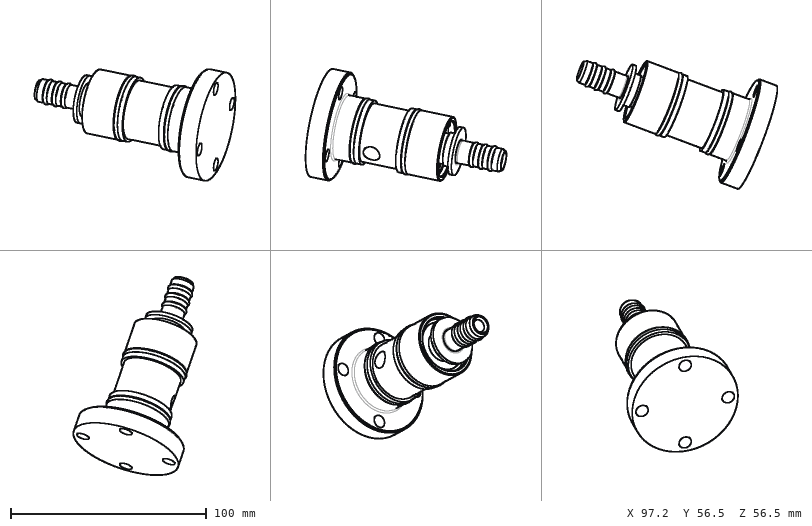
import cadquery as cq
import math

total_length = 97.2

stem_dia = 12.0
tip_chamfer_length = 1.6
tip_chamfer_depth = 0.9
small_groove_dia = 9.5
small_groove_count = 3
first_small_ring_x = 5.8
small_ring_pitch = 5.0

undercut_dia = 11.8
undercut_start_x = 23.0
undercut_runout = 0.4
undercut_face_depth = 0.1
undercut_face_dia = 13.8
undercut_radius = 0.4

collar_dia = 25.0
collar_front_x = 24.0
collar_thickness = 1.9
neck_dia = 17.5
neck_end_x = 29.9
inner_neck_dia = 15.9

housing_front_x = 30.2
housing_dia = 33.5
housing_chamfer_length = 0.3
housing_chamfer_depth = 0.6
waist_dia = 30.6
waist_start_x = 52.5
waist_end_x = 72.3
large_groove_dia = 30.7
large_ring_positions = [48.7, 76.2]

ring_section_radius = 0.9
groove_width = 2.3

flange_dia = 56.5
flange_front_x = 88.0
pilot_dia = 54.8
pilot_front_x = 87.2
flange_fillet = 0.9
bolt_hole_dia = 6.5
bolt_circle_dia = 46.0
bolt_hole_count = 4

recess_dia = 28.6
recess_floor_x = 34.0
recess_chamfer = 0.5
lip_inner_dia = 25.5
lip_thickness = 1.2
lip_gap_width = 8.6
lip_notch_y = 12.15
lip_notch_z = 6.0

bore_dia = 6.6
bore_mouth_dia = 8.7
bore_mouth_depth = 1.5
port_dia = 8.7
port_x = 65.9


def turned(points):
    """Solid of revolution about X from (x, radius) points that start and end on the axis."""
    return cq.Workplane("XY").polyline(points).close().revolve(360, (0, 0, 0), (1, 0, 0))


def cylinder_x(diameter, start_x, end_x):
    return cq.Workplane("YZ", origin=(start_x, 0, 0)).circle(diameter / 2).extrude(end_x - start_x)


def tube_x(outer_dia, inner_dia, start_x, end_x):
    return cylinder_x(outer_dia, start_x, end_x).cut(cylinder_x(inner_dia, start_x, end_x))


def ring_groove(center_x, outer_dia, floor_dia):
    return tube_x(outer_dia, floor_dia, center_x - groove_width / 2, center_x + groove_width / 2)


def o_ring(center_x, floor_dia):
    """O-ring that rests on the floor of its groove."""
    center_radius = floor_dia / 2 + ring_section_radius
    section = cq.Workplane("XY").center(center_x, center_radius).circle(ring_section_radius)
    return section.revolve(360, (-center_x, -center_radius, 0), (1 - center_x, -center_radius, 0))


def stem():
    radius = stem_dia / 2
    collar_back_x = collar_front_x + collar_thickness
    return turned([
        (0, 0),
        (0, radius - tip_chamfer_depth),
        (tip_chamfer_length, radius),
        (collar_front_x, radius),
        (collar_front_x, collar_dia / 2),
        (collar_back_x, collar_dia / 2),
        (collar_back_x, neck_dia / 2),
        (neck_end_x, neck_dia / 2),
        (neck_end_x, inner_neck_dia / 2),
        (recess_floor_x, inner_neck_dia / 2),
        (recess_floor_x, 0),
    ])


def stem_undercut():
    """Shallow relief cut into both the stem and the collar face, with a rounded corner."""
    floor_radius = undercut_dia / 2
    face_x = collar_front_x + undercut_face_depth
    mid_offset = undercut_radius * (1 - math.sqrt(0.5))
    profile = (
        cq.Workplane("XY")
        .moveTo(undercut_start_x, stem_dia / 2)
        .lineTo(undercut_start_x + undercut_runout, floor_radius)
        .lineTo(face_x - undercut_radius, floor_radius)
        .threePointArc(
            (face_x - mid_offset, floor_radius + mid_offset),
            (face_x, floor_radius + undercut_radius),
        )
        .lineTo(collar_front_x, undercut_face_dia / 2)
        .close()
    )
    return profile.revolve(360, (0, 0, 0), (1, 0, 0))


def housing():
    radius = housing_dia / 2
    fillet_mid = flange_fillet * (1 - math.sqrt(0.5))
    profile = (
        cq.Workplane("XY")
        .moveTo(housing_front_x, 0)
        .lineTo(housing_front_x, radius - housing_chamfer_depth)
        .lineTo(housing_front_x + housing_chamfer_length, radius)
        .lineTo(waist_start_x, radius)
        .lineTo(waist_start_x, waist_dia / 2)
        .lineTo(waist_end_x, waist_dia / 2)
        .lineTo(waist_end_x, radius)
        .lineTo(pilot_front_x - flange_fillet, radius)
        .threePointArc(
            (pilot_front_x - fillet_mid, radius + fillet_mid),
            (pilot_front_x, radius + flange_fillet),
        )
        .lineTo(pilot_front_x, pilot_dia / 2)
        .lineTo(flange_front_x, pilot_dia / 2)
        .lineTo(flange_front_x, flange_dia / 2)
        .lineTo(total_length, flange_dia / 2)
        .lineTo(total_length, 0)
        .close()
    )
    return profile.revolve(360, (0, 0, 0), (1, 0, 0))


def bolt_holes():
    return (
        cq.Workplane("YZ", origin=(pilot_front_x, 0, 0))
        .polarArray(bolt_circle_dia / 2, 0, 360, bolt_hole_count)
        .circle(bolt_hole_dia / 2)
        .extrude(total_length - pilot_front_x)
    )


def front_recess():
    radius = recess_dia / 2
    return turned([
        (housing_front_x, 0),
        (housing_front_x, radius + recess_chamfer),
        (housing_front_x + recess_chamfer, radius),
        (recess_floor_x, radius),
        (recess_floor_x, 0),
    ])


def retaining_lip():
    """Ring on the recess floor, open toward -Y, with a small notch above and below the opening."""
    lip_front_x = recess_floor_x - lip_thickness
    lip = tube_x(recess_dia, lip_inner_dia, lip_front_x, recess_floor_x)
    reach = recess_dia / 2
    gap = cq.Workplane("XY").box(lip_thickness, reach, lip_gap_width, centered=(False, False, True))
    lip = lip.cut(gap.translate((lip_front_x, -reach, 0)))
    notch = cq.Workplane("XY").box(lip_thickness, reach, reach, centered=False)
    upper_notch = notch.translate((lip_front_x, -lip_notch_y - reach, lip_notch_z))
    return lip.cut(upper_notch).cut(upper_notch.mirror("XY"))


def flow_passage():
    bore_end_x = port_x + port_dia / 2
    bore = turned([
        (0, 0),
        (0, bore_mouth_dia / 2),
        (bore_mouth_depth, bore_dia / 2),
        (bore_end_x, bore_dia / 2),
        (bore_end_x, 0),
    ])
    port = cq.Workplane("XZ", origin=(port_x, 0, 0)).circle(port_dia / 2).extrude(-housing_dia / 2)
    return bore.union(port)


small_ring_positions = [first_small_ring_x + i * small_ring_pitch for i in range(small_groove_count)]

coupling = housing().cut(bolt_holes()).cut(front_recess())
coupling = coupling.union(retaining_lip()).union(stem()).cut(stem_undercut())
for x in small_ring_positions:
    coupling = coupling.cut(ring_groove(x, stem_dia, small_groove_dia))
for x in large_ring_positions:
    coupling = coupling.cut(ring_groove(x, housing_dia, large_groove_dia))
coupling = coupling.cut(flow_passage())

small_rings = [o_ring(x, small_groove_dia) for x in small_ring_positions]
large_rings = [o_ring(x, large_groove_dia) for x in large_ring_positions]

result = cq.Compound.makeCompound([
    coupling.val(),
    *[ring.val() for ring in small_rings],
    *[ring.val() for ring in large_rings],
])